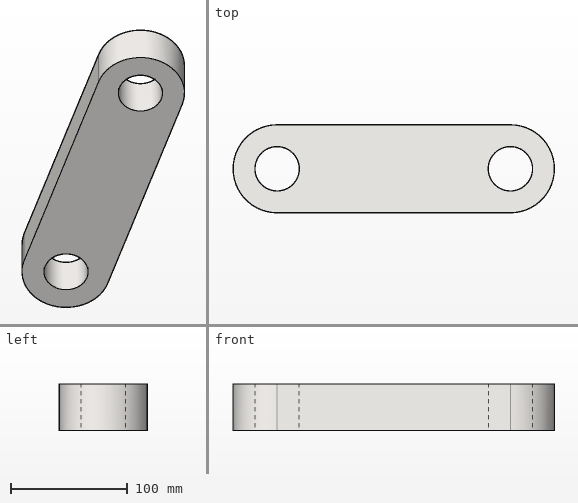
import cadquery as cq

hole_spacing = 200.0
link_width = 75.69
link_thickness = 40.0

link_length = hole_spacing + link_width
hole_diameter = link_width / 2


def link_body():
    """Flat bar with fully rounded ends, centred on the hole axes' midpoint."""
    return cq.Workplane("XY").slot2D(link_length, link_width).extrude(link_thickness)


def pin_holes():
    """Through-hole cylinders, concentric with the rounded ends."""
    hole_centres = [(-hole_spacing / 2, 0), (hole_spacing / 2, 0)]
    return (
        cq.Workplane("XY")
        .pushPoints(hole_centres)
        .circle(hole_diameter / 2)
        .extrude(link_thickness)
    )


result = link_body().cut(pin_holes())